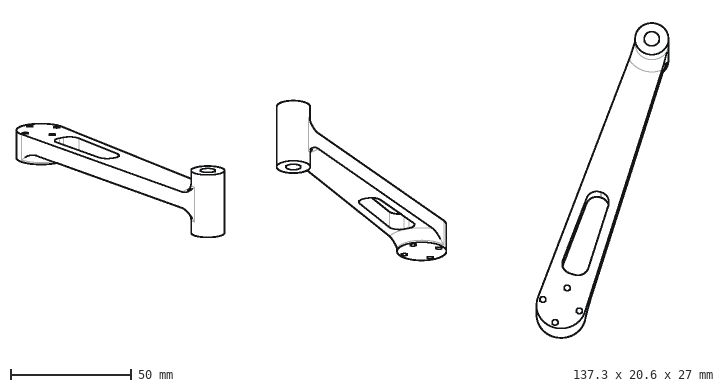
import cadquery as cq
import math

pad_radius = 20.6 / 2
hub_radius = 14.0 / 2
hub_x = 120.0

arm_thickness = 7.0
pad_depth = 5.0
hub_overhang = 10.0
fillet_radius = 4.0

hub_bore_diameter = 6.3
pad_hole_diameter = 2.5
pad_hole_circle_radius = 8.0
pad_hole_count = 4

slot_start_x = 14.5
slot_end_x = 52.5
slot_rail_width = 4.2
slot_corner_radius = 9.0 / 2

edge_angle = math.asin((pad_radius - hub_radius) / hub_x)


def slot_half_width(x):
    """Half width of the slot at x, offset inward from the tangent arm edge by the rail width."""
    return (pad_radius - slot_rail_width) / math.cos(edge_angle) - x * math.tan(edge_angle)


def tangent_point(x, radius):
    """Point where the +Y arm edge touches the circle of the given radius centred at x."""
    return (x + radius * math.sin(edge_angle), radius * math.cos(edge_angle))


def arm_prism(z_bottom, z_top):
    """Prism with straight tangent sides that wraps around the pad and hub circles."""
    pad_x, pad_y = tangent_point(0, pad_radius)
    hub_edge_x, hub_y = tangent_point(hub_x, hub_radius)
    return (
        cq.Workplane("XY")
        .workplane(offset=z_bottom)
        .moveTo(pad_x, -pad_y)
        .lineTo(hub_edge_x, -hub_y)
        .threePointArc((hub_x + hub_radius, 0), (hub_edge_x, hub_y))
        .lineTo(pad_x, pad_y)
        .threePointArc((-pad_radius, 0), (pad_x, -pad_y))
        .close()
        .extrude(z_top - z_bottom)
    )


def cylinder(x, radius, z_bottom, z_top):
    return cq.Workplane("XY").workplane(offset=z_bottom).center(x, 0).circle(radius).extrude(z_top - z_bottom)


def fillet_collar(x, radius, z_face, direction):
    """Concave fillet around a cylinder, rising from z_face (direction +1) or hanging below it (-1).

    The collar is trimmed to the sides of the arm.
    """
    z_tip = z_face + direction * fillet_radius
    outer_radius = radius + fillet_radius
    arc_reach = fillet_radius * (1 - math.sqrt(0.5))
    collar = (
        cq.Workplane("XZ", origin=(x, 0, 0))
        .moveTo(0, z_face)
        .lineTo(outer_radius, z_face)
        .threePointArc((radius + arc_reach, z_face + direction * arc_reach), (radius, z_tip))
        .lineTo(0, z_tip)
        .close()
        .revolve(360, (0, 0), (0, 1))
    )
    return collar.intersect(arm_prism(min(z_face, z_tip), max(z_face, z_tip)))


def arm_slot():
    """Rounded window whose long sides run parallel to the arm edges."""
    start_half_width = slot_half_width(slot_start_x)
    end_half_width = slot_half_width(slot_end_x)
    corners = [
        (slot_start_x, -start_half_width),
        (slot_end_x, -end_half_width),
        (slot_end_x, end_half_width),
        (slot_start_x, start_half_width),
    ]
    return (
        cq.Workplane("XY")
        .polyline(corners)
        .close()
        .extrude(arm_thickness)
        .edges("|Z")
        .fillet(slot_corner_radius)
    )


def pad_holes():
    return (
        cq.Workplane("XY")
        .workplane(offset=-pad_depth)
        .polarArray(pad_hole_circle_radius, 0, 360, pad_hole_count)
        .circle(pad_hole_diameter / 2)
        .extrude(pad_depth + arm_thickness)
    )


hub_bottom = -hub_overhang
hub_top = arm_thickness + hub_overhang

body = (
    arm_prism(0, arm_thickness)
    .union(cylinder(0, pad_radius, -pad_depth, arm_thickness))
    .union(cylinder(hub_x, hub_radius, hub_bottom, hub_top))
    .union(fillet_collar(0, pad_radius, 0, -1))
    .union(fillet_collar(hub_x, hub_radius, 0, -1))
    .union(fillet_collar(hub_x, hub_radius, arm_thickness, 1))
)

result = (
    body
    .cut(arm_slot())
    .cut(pad_holes())
    .cut(cylinder(hub_x, hub_bore_diameter / 2, hub_bottom, hub_top))
)